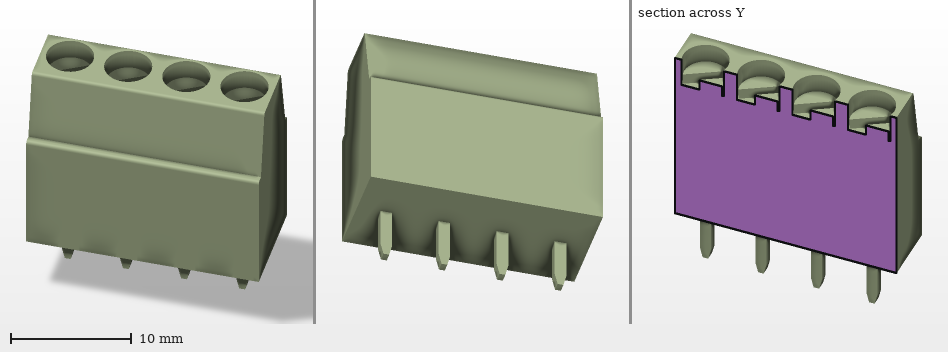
import cadquery as cq
import math

POLES = 4
PITCH = 5.0
LENGTH = POLES * PITCH
BODY_DEPTH = 8.9
BODY_HEIGHT = 16.8
SHOULDER_HEIGHT = 10.8

FRONT_LEDGE = 0.7
FRONT_TOP_SETBACK = 1.8
BACK_LEDGE = 0.5
BACK_TOP_SETBACK = 1.88
SHOULDER_FILLET = 0.3
FRONT_TOP_FILLET = 0.3
BACK_TOP_FILLET = 0.2

WELL_DIAMETER = 4.0
WELL_Y = 0.25
WELL_FLAT_WIDTH = 0.34
HEAD_DIAMETER = 3.8
HEAD_RECESS = 1.7
SLOT_WIDTH = 0.85
SLOT_DEPTH = 1.0
SLOT_ANGLE = 30.0
WELL_DEPTH = HEAD_RECESS + SLOT_DEPTH

PIN_WIDTH = 1.0
PIN_THICKNESS = 0.8
PIN_LENGTH = 4.5
PIN_Y = -0.1
TIP_WIDTH = 0.5
TIP_LENGTH = 1.0

FRONT_Y = -BODY_DEPTH / 2
BACK_Y = BODY_DEPTH / 2
POLE_X = [(i - (POLES - 1) / 2) * PITCH for i in range(POLES)]


def edges_along_x(body, y, z):
    """Select the lengthwise edge passing through the given Y and Z."""
    return body.edges(cq.selectors.NearestToPointSelector((0, y, z)))


def housing():
    """Stepped, tapered housing extruded along X, with rounded long edges."""
    front_top_y = FRONT_Y + FRONT_TOP_SETBACK
    back_top_y = BACK_Y - BACK_TOP_SETBACK
    profile = [
        (FRONT_Y, 0),
        (FRONT_Y, SHOULDER_HEIGHT),
        (FRONT_Y + FRONT_LEDGE, SHOULDER_HEIGHT),
        (front_top_y, BODY_HEIGHT),
        (back_top_y, BODY_HEIGHT),
        (BACK_Y - BACK_LEDGE, SHOULDER_HEIGHT),
        (BACK_Y, SHOULDER_HEIGHT),
        (BACK_Y, 0),
    ]
    body = cq.Workplane("YZ").polyline(profile).close().extrude(LENGTH / 2, both=True)
    rounded_edges = [
        (FRONT_Y, SHOULDER_HEIGHT, SHOULDER_FILLET),
        (BACK_Y, SHOULDER_HEIGHT, SHOULDER_FILLET),
        (front_top_y, BODY_HEIGHT, FRONT_TOP_FILLET),
        (back_top_y, BODY_HEIGHT, BACK_TOP_FILLET),
    ]
    for y, z, radius in rounded_edges:
        body = edges_along_x(body, y, z).fillet(radius)
    return body


def screw_well(x):
    """Round well, open at the top of the housing, with a narrow flat on its back wall."""
    radius = WELL_DIAMETER / 2
    half_flat = WELL_FLAT_WIDTH / 2
    flat_y = math.sqrt(radius**2 - half_flat**2)
    floor = cq.Workplane("XY", origin=(x, WELL_Y, BODY_HEIGHT - WELL_DEPTH))
    outline = floor.moveTo(-half_flat, flat_y).threePointArc((0, -radius), (half_flat, flat_y)).close()
    return outline.extrude(WELL_DEPTH)


def screw_head(x):
    """Slotted screw head standing on the well floor."""
    floor = cq.Workplane("XY", origin=(x, WELL_Y, BODY_HEIGHT - WELL_DEPTH))
    head = floor.circle(HEAD_DIAMETER / 2).extrude(SLOT_DEPTH)
    slot = floor.transformed(rotate=(0, 0, SLOT_ANGLE)).rect(WELL_DIAMETER, SLOT_WIDTH).extrude(SLOT_DEPTH)
    return head.cut(slot)


def solder_pin(x):
    """Flat pin below the housing, narrowing in X towards its tip."""
    outline = [
        (-PIN_WIDTH / 2, 0),
        (PIN_WIDTH / 2, 0),
        (PIN_WIDTH / 2, TIP_LENGTH - PIN_LENGTH),
        (TIP_WIDTH / 2, -PIN_LENGTH),
        (-TIP_WIDTH / 2, -PIN_LENGTH),
        (-PIN_WIDTH / 2, TIP_LENGTH - PIN_LENGTH),
    ]
    plane = cq.Workplane("XZ", origin=(x, PIN_Y, 0))
    return plane.polyline(outline).close().extrude(PIN_THICKNESS / 2, both=True)


result = housing()
for pole_x in POLE_X:
    result = result.cut(screw_well(pole_x))
    result = result.union(screw_head(pole_x))
    result = result.union(solder_pin(pole_x))